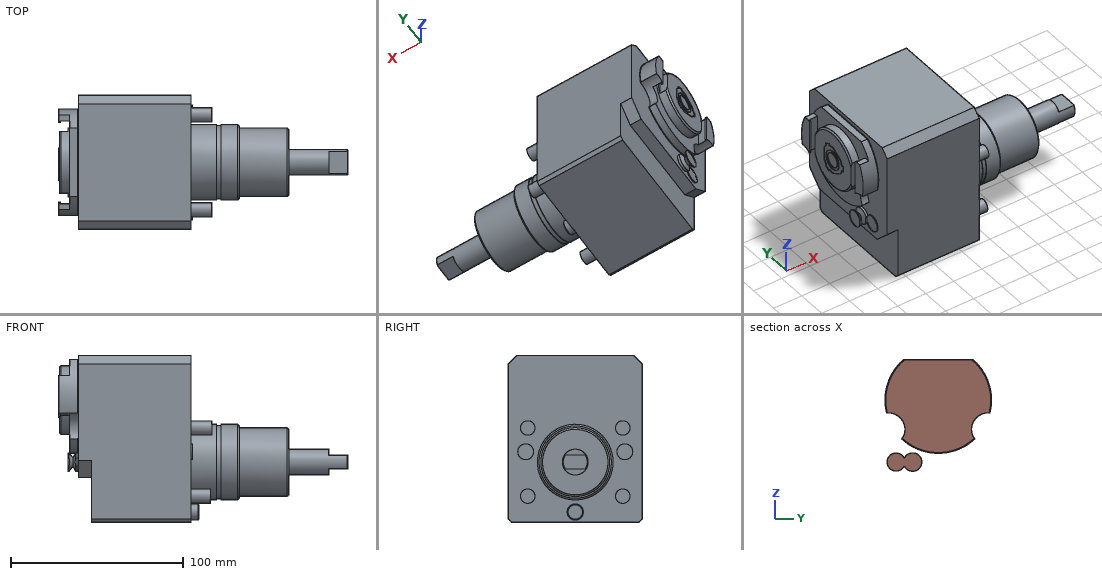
import cadquery as cq


housing_length = 65.6
housing_width = 78.0
housing_top = 62.0
housing_bottom = -35.0
top_chamfer = 5.0
bottom_chamfer = 2.0
step_depth = 7.6
step_z = -9.0
step_corner = 10.0

spindle_z = 36.0
plate_thickness = 5.0
plate_radius = 31.0
plate_flat = 23.7
seat_thickness = 0.4
seat_inset = 0.4
bite_radius = 9.5
bite_y = 28.9
bite_drop = 17.0

front_reach = 11.4
prong_inner_y = 24.0
prong_top = 14.3
prong_lip = 1.0
prong_lip_thickness = 1.0
lip_corner_radius = 0.8

nose_radius = 20.0
nose_flat_y = 18.0
nose_collar = 1.0
nose_chamfer = 1.0
face_relief = 0.4
cap_radius = 9.4
cap_flat = 8.4
cap_key_reach = 10.5
cap_key_width = 3.8
cap_key_count = 3
ring_outer_radius = 6.4
ring_inner_radius = 4.8

nozzle_y = -14.9
plug_y = -24.5
nozzle_radius = 5.4
nozzle_reach = 6.0
nozzle_rim = 0.6
nozzle_neck_radius = 2.6
nozzle_neck_x = 3.0
nozzle_base = 1.5
plug_radius = 5.3
plug_height = 0.6

flange_radius = 22.0
groove_start = 14.7
groove_end = 17.3
groove_depth = 0.6
flange_end = 28.0
flange_chamfer = 1.0
pilot_radius = 20.0
pilot_end = 56.7
pilot_chamfer = 1.0
shaft_radius = 7.5
shaft_end = 91.0
shaft_chamfer = 0.5
tang_start = 80.0
tang_thickness = 8.0

pin_radius = 4.2
pin_y = 27.6
pin_z = 19.8
upper_pin_length = 12.0
lower_pin_length = 11.2
pad_radius = 4.6
pad_y = 28.8
pad_z = 6.0
pad_height = 0.7
stop_radius = 4.7
stop_z = -29.0
stop_length = 4.5
stop_chamfer = 0.5

housing_front = -housing_length
plate_front = housing_front - plate_thickness
front_end = housing_front - front_reach


def cylinder_x(radius, start, end, y=0.0, z=0.0):
    """Cylinder parallel to X between two X positions."""
    return cq.Workplane("YZ", origin=(start, y, z)).circle(radius).extrude(end - start)


def box_between(x_range, y_range, z_range):
    """Axis-aligned box from its limits along each axis."""
    lows, highs = zip(x_range, y_range, z_range)
    sizes = [high - low for low, high in zip(lows, highs)]
    return cq.Workplane("XY").box(*sizes, centered=False).translate(lows)


def both_sides(shape):
    """Shape together with its mirror image across the XZ plane."""
    return shape.union(shape.mirror("XZ"))


def make_housing():
    half_width = housing_width / 2
    body = box_between(
        (housing_front, 0), (-half_width, half_width), (housing_bottom, housing_top)
    )
    body = body.edges("|X and >Z").chamfer(top_chamfer)
    body = body.edges("|X and <Z").chamfer(bottom_chamfer)
    step = (
        cq.Workplane("YZ", origin=(housing_front, 0, 0))
        .moveTo(-half_width, housing_bottom)
        .lineTo(half_width, housing_bottom)
        .lineTo(half_width, step_z + step_corner)
        .lineTo(half_width - step_corner, step_z)
        .lineTo(step_corner - half_width, step_z)
        .lineTo(-half_width, step_z + step_corner)
        .close()
        .extrude(step_depth)
    )
    return body.cut(step)


def plate_layer(start, end, inset):
    """Round layer with a flat top, its rim and flat set in by the given inset."""
    radius = plate_radius - inset
    disc = cylinder_x(radius, start, end, z=spindle_z)
    flat = box_between(
        (start, end),
        (-radius, radius),
        (spindle_z - radius, spindle_z + plate_flat - inset),
    )
    return disc.intersect(flat)


def make_plate():
    """Plate standing on a thin, slightly smaller seat."""
    seat_front = housing_front - seat_thickness
    plate = plate_layer(plate_front, seat_front, 0)
    return plate.union(plate_layer(seat_front, housing_front, seat_inset))


def make_prong():
    """Prong on the +Y side, with a thin lip at its tip."""
    blank = cylinder_x(plate_radius, front_end, plate_front, z=spindle_z)
    height = (spindle_z - bite_drop, spindle_z + prong_top)
    stem = box_between((front_end, plate_front), (prong_inner_y, plate_radius), height)
    lip = box_between(
        (front_end, front_end + prong_lip_thickness),
        (prong_inner_y - prong_lip, plate_radius),
        height,
    )
    lip = lip.edges("|X and >Z and <Y").fillet(lip_corner_radius)
    return blank.intersect(stem.union(lip))


def make_face_assembly():
    """Plate and prongs, with a round bite below each prong."""
    bite = cylinder_x(
        bite_radius, front_end, housing_front, bite_y, spindle_z - bite_drop
    )
    return make_plate().union(both_sides(make_prong())).cut(both_sides(bite))


def make_cap():
    """Collet cap: a round with three flats and three keys between them."""
    face_x = front_end + face_relief
    cap = cylinder_x(cap_radius, front_end, face_x)
    key_pitch = 360 / cap_key_count
    trim = box_between(
        (front_end, face_x), (-cap_radius, cap_flat), (-cap_radius, cap_radius)
    )
    key = box_between(
        (front_end, face_x), (-cap_key_reach, 0), (-cap_key_width / 2, cap_key_width / 2)
    )
    axis = ((0, 0, 0), (1, 0, 0))
    for index in range(cap_key_count):
        cap = cap.intersect(trim.rotate(*axis, index * key_pitch))
    for index in range(cap_key_count):
        cap = cap.union(key.rotate(*axis, index * key_pitch))
    ring = cylinder_x(ring_outer_radius, front_end, face_x).cut(
        cylinder_x(ring_inner_radius, front_end, face_x)
    )
    return cap.cut(ring).translate((0, 0, spindle_z))


def make_nose():
    face_x = front_end + face_relief
    collar_front = plate_front - nose_collar
    nose = cylinder_x(nose_radius, face_x, collar_front, z=spindle_z)
    nose = nose.faces("<X").chamfer(nose_chamfer)
    flats = box_between(
        (face_x, collar_front),
        (-nose_flat_y, nose_flat_y),
        (spindle_z - nose_radius, spindle_z + nose_radius),
    )
    collar = cylinder_x(nose_radius, collar_front, plate_front, z=spindle_z)
    return nose.intersect(flats).union(collar).union(make_cap())


def make_nozzle():
    """Waisted nozzle, cut flat where it meets the round plug beside it."""
    profile = (
        cq.Workplane("XY")
        .moveTo(0, 0)
        .lineTo(-nozzle_reach, 0)
        .lineTo(-nozzle_reach, nozzle_radius)
        .lineTo(nozzle_rim - nozzle_reach, nozzle_radius)
        .lineTo(-nozzle_neck_x, nozzle_neck_radius)
        .lineTo(-nozzle_base, nozzle_radius)
        .lineTo(0, nozzle_radius)
        .close()
    )
    nozzle = profile.revolve(360, (0, 0, 0), (1, 0, 0))
    nozzle = nozzle.translate((housing_front, nozzle_y, 0))
    spacing = nozzle_y - plug_y
    chord_offset = (spacing**2 + nozzle_radius**2 - plug_radius**2) / (2 * spacing)
    keep = box_between(
        (housing_front - nozzle_reach, housing_front),
        (nozzle_y - chord_offset, nozzle_y + nozzle_radius),
        (-nozzle_radius, nozzle_radius),
    )
    plug = cylinder_x(plug_radius, housing_front - plug_height, housing_front, plug_y)
    return nozzle.intersect(keep).union(plug)


def make_shank():
    flange = cylinder_x(flange_radius, 0, flange_end).faces(">X").chamfer(flange_chamfer)
    groove = cylinder_x(flange_radius, groove_start, groove_end).cut(
        cylinder_x(flange_radius - groove_depth, groove_start, groove_end)
    )
    pilot = cylinder_x(pilot_radius, 0, pilot_end).faces(">X").chamfer(pilot_chamfer)
    return flange.cut(groove).union(pilot).union(make_shaft())


def make_shaft():
    shaft = cylinder_x(shaft_radius, 0, shaft_end).faces(">X").chamfer(shaft_chamfer)
    half_tang = tang_thickness / 2
    above_tang = box_between(
        (tang_start, shaft_end), (-shaft_radius, shaft_radius), (half_tang, shaft_radius)
    )
    return shaft.cut(above_tang).cut(above_tang.mirror("XY"))


def make_rear_details():
    upper_pin = cylinder_x(pin_radius, 0, upper_pin_length, pin_y, pin_z)
    lower_pin = cylinder_x(pin_radius, 0, lower_pin_length, pin_y, -pin_z)
    pad = cylinder_x(pad_radius, 0, pad_height, pad_y, pad_z)
    stop = cylinder_x(stop_radius, 0, stop_length, z=stop_z)
    stop = stop.faces(">X").chamfer(stop_chamfer)
    return both_sides(upper_pin.union(lower_pin).union(pad)).union(stop)


result = (
    make_housing()
    .union(make_face_assembly())
    .union(make_nose())
    .union(make_nozzle())
    .union(make_shank())
    .union(make_rear_details())
)